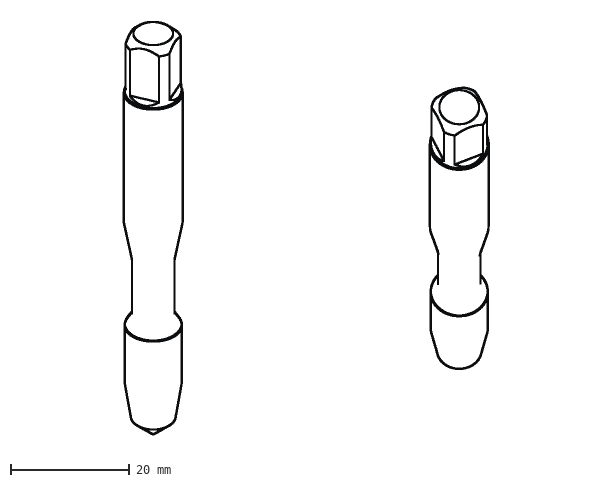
import cadquery as cq
import math


overall_length = 83.69
point_length = 3.82
lead_taper_length = 7.2
head_top_below_top = 60.8
collar_length = 0.2
shoulder_below_top = 12.3
taper_below_top = 39.2

shank_diameter = 10.0
square_corner_diameter = 9.6
neck_diameter = 7.25
collar_diameter = 9.6
head_diameter = 9.72
point_diameter = 2 * point_length

neck_taper_angle = 10.0
neck_flare_angle = 30.0
neck_fillet = 1.0

square_width = 8.0
square_length = 11.0
top_face_diameter = 6.75

top_z = overall_length
lead_top_z = point_length + lead_taper_length
head_top_z = top_z - head_top_below_top
collar_top_z = head_top_z + collar_length
shoulder_z = top_z - shoulder_below_top
taper_z = top_z - taper_below_top
square_floor_z = top_z - square_length


def revolve_about_axis(profile):
    """Solid of revolution about Z from an outline in the XZ plane that starts and ends on the axis."""
    return profile.close().revolve(360, (0, 0, 0), (0, 1, 0))


def neck_fillet_points(cone_diameter, cone_z, angle, direction):
    """Three points, cone side first, of the arc that blends a cone into the neck.

    The cone leans from the axis by the angle in degrees; direction is +1 when the
    neck lies above the cone and -1 when it lies below.
    """
    lean = math.radians(angle)
    neck_radius = neck_diameter / 2
    cone_length = (cone_diameter / 2 - neck_radius) / math.tan(lean)
    tangent_z = cone_z + direction * (cone_length + neck_fillet * math.tan(lean / 2))
    return [
        (
            neck_radius + neck_fillet * (1 - math.cos(turn)),
            tangent_z - direction * neck_fillet * math.sin(turn),
        )
        for turn in (lean, lean / 2, 0)
    ]


def make_flat_cutter():
    """Prism that cuts one flat at +X, with a floor falling outward at 45 degrees."""
    flat_x = square_width / 2
    outer_x = shank_diameter
    return (
        cq.Workplane("XZ")
        .polyline([
            (flat_x, square_floor_z),
            (outer_x, square_floor_z - (outer_x - flat_x)),
            (outer_x, top_z),
            (flat_x, top_z),
        ])
        .close()
        .extrude(shank_diameter, both=True)
    )


def make_shank():
    """Round shank with a necked lower end and a driving square on top."""
    flare_start, flare_mid, neck_bottom = neck_fillet_points(
        collar_diameter, collar_top_z, neck_flare_angle, 1
    )
    taper_end, taper_mid, neck_top = neck_fillet_points(
        shank_diameter, taper_z, neck_taper_angle, -1
    )
    collar_radius = collar_diameter / 2
    shank_radius = shank_diameter / 2
    corner_radius = square_corner_diameter / 2
    top_face_radius = top_face_diameter / 2
    shoulder_chamfer_z = shoulder_z + (shank_radius - corner_radius)
    top_chamfer_z = top_z - (corner_radius - top_face_radius)

    shank = revolve_about_axis(
        cq.Workplane("XZ")
        .moveTo(0, head_top_z)
        .lineTo(collar_radius, head_top_z)
        .lineTo(collar_radius, collar_top_z)
        .lineTo(*flare_start)
        .threePointArc(flare_mid, neck_bottom)
        .lineTo(*neck_top)
        .threePointArc(taper_mid, taper_end)
        .lineTo(shank_radius, taper_z)
        .lineTo(shank_radius, shoulder_z)
        .lineTo(corner_radius, shoulder_chamfer_z)
        .lineTo(corner_radius, top_chamfer_z)
        .lineTo(top_face_radius, top_z)
        .lineTo(0, top_z)
    )
    for side in range(4):
        shank = shank.cut(make_flat_cutter().rotate((0, 0, 0), (0, 0, 1), 90 * side))
    return shank


def make_cutting_head():
    """Cutting head with a tapered lead and a conical point."""
    head_radius = head_diameter / 2
    return revolve_about_axis(
        cq.Workplane("XZ")
        .moveTo(0, 0)
        .lineTo(point_diameter / 2, point_length)
        .lineTo(head_radius, lead_top_z)
        .lineTo(head_radius, head_top_z)
        .lineTo(0, head_top_z)
    )


shank = make_shank()
cutting_head = make_cutting_head()

result = cq.Compound.makeCompound([shank.val(), cutting_head.val()])